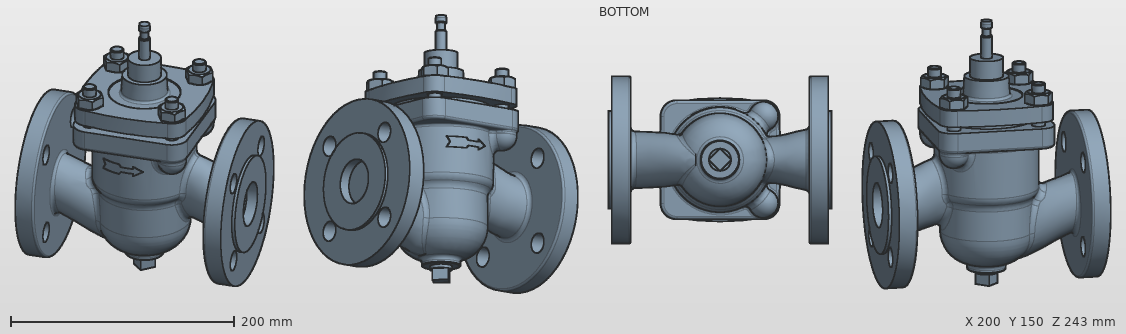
import cadquery as cq
import math


face_to_face = 200.0
flange_dia = 150.0
flange_thickness = 17.2
raised_face_dia = 88.0
raised_face_height = 3.0
flange_edge_radius = 2.0
port_dia = 40.0
port_depth = 10.0
bolt_hole_dia = 18.0
bolt_offset = 38.9
flange_front = face_to_face / 2 - raised_face_height
flange_back = flange_front - flange_thickness

chest_radius = 94.0 / 2
bowl_radius = 41.8
shoulder_top = 12.1
shoulder_bottom = -1.2
bowl_top = -28.5
bowl_curve_radius = 30.4
drain_fillet_start_radius = 21.0
drain_boss_radius = 17.5
drain_boss_bottom = -64.4
drain_fillet_end = -61.5
drain_boss_chamfer = 0.7

inlet_sections = [
    (flange_back, -6.0, 25.7, 27.0),
    (65.5, -12.0, 25.3, 27.2),
    (53.5, -17.0, 24.8, 28.5),
    (38.9, -24.5, 22.5, 28.0),
    (21.9, -32.0, 19.2, 25.3),
]
outlet_sections = [
    (flange_back, 0.5, 27.5, 28.7),
    (65.5, 3.6, 24.8, 29.0),
    (54.6, 7.8, 22.0, 29.9),
    (43.7, 11.0, 20.6, 30.0),
    (29.1, 13.5, 19.5, 27.7),
]
neck_flare_radius = 3.6
neck_root_fillet = 5.3

body_flange_top = 75.8
body_flange_bottom = 56.5
body_flange_half = 53.5
body_flange_corner = 14.5
body_flange_edge_radius = 3.0
chest_fillet = 2.2

stud_offset = 38.9
stud_boss_radius = 13.0
stud_boss_centre_height = 53.7
stud_boss_fillet = 5.3

plug_neck_dia = 20.0
plug_square_diagonal = 20.5
plug_square_top = -67.5
plug_bottom = -78.0

arrow_tail = -25.7
arrow_notch = 2.7
arrow_shaft_start = -6.5
arrow_tail_end = -8.5
arrow_head_start = 4.9
arrow_tip = 13.8
arrow_height = 40.0
arrow_half_width = 4.9
arrow_shaft_half_width = 2.5
arrow_relief = 0.5

edge_margin = 0.2
flare_hollow = 0.3

bonnet_gap = 5.5
bonnet_thickness = 15.0
bonnet_half = 55.4
bonnet_corner_radius = 13.0
bonnet_hub_dia = 88.0
recess_top_dia = 65.3
recess_floor_dia = 64.0
recess_depth = 0.5
bonnet_bottom = body_flange_top + bonnet_gap
bonnet_top = bonnet_bottom + bonnet_thickness
recess_floor = bonnet_top - recess_depth

gland_flare_radius = 22.8
gland_base_radius = 21.0
gland_base_height = 98.4
gland_shoulder_radius = 40.0 / 2
gland_shoulder_height = 114.0
gland_nose_radius = 29.9 / 2
gland_top = 131.0
stem_radius = 10.0 / 2
stem_neck_radius = 7.5 / 2
stem_bevel = 0.7
stem_neck_bottom = 151.5
stem_cone_start = 150.3
stem_head_bottom = 158.8
stem_head_rim = 162.7
stem_rim_radius = 4.5
stem_top = 165.0

stud_dia = 12.0
stud_clearance_dia = 13.0
stud_top = 114.5
stud_chamfer = 1.0
nut_flats = 22.0
nut_height = 10.2
nut_face_dia = 20.0
nut_collar_height = 0.5
nut_chamfer_angle = 30


def ring_of_points(offset):
    """The four corners of a square with half side `offset`."""
    return [(x, y) for x in (-offset, offset) for y in (-offset, offset)]


def edges_between(corner, opposite):
    """Selector for the edges that lie wholly inside a box given by two corners."""
    return cq.selectors.BoxSelector(corner, opposite, boundingbox=True)


def hollow_arc_middle(inner_radius, outer_radius, outer_height, inner_height):
    """Middle point of a hollow flare between a wide end and the narrower column it runs into."""
    return (
        inner_radius + flare_hollow * (outer_radius - inner_radius),
        outer_height + flare_hollow * (inner_height - outer_height),
    )


def line_flange(side):
    """Line flange with its raised face; side is -1 for the inlet and 1 for the outlet."""
    flange = (
        cq.Workplane("YZ", origin=(side * flange_back, 0, 0))
        .circle(flange_dia / 2)
        .extrude(side * flange_thickness)
    )
    back_face = "<X" if side > 0 else ">X"
    flange = flange.faces(back_face).edges().fillet(flange_edge_radius)
    raised_face = (
        cq.Workplane("YZ", origin=(side * flange_front, 0, 0))
        .circle(raised_face_dia / 2)
        .extrude(side * raised_face_height)
    )
    return flange.union(raised_face)


def pipe_neck(side, sections):
    """Sloping neck lofted through upright ellipses from the flange into the casting."""
    ellipses = []
    for distance, height, half_width, half_height in sections:
        plane = cq.Plane(origin=(side * distance, 0, height), xDir=(0, 1, 0), normal=(1, 0, 0))
        ellipses.append(cq.Wire.makeEllipse(
            half_height, half_width, plane.origin, plane.zDir, cq.Vector(0, 0, 1)))
    return cq.Workplane(cq.Solid.makeLoft(ellipses))


def flanged_neck(side, sections):
    """Line flange and its neck, with a flare where they meet."""
    joined = line_flange(side).union(pipe_neck(side, sections))
    joint = edges_between(
        (side * (flange_back - edge_margin), -bolt_offset, -bolt_offset),
        (side * (flange_back + edge_margin), bolt_offset, bolt_offset),
    )
    return joined.edges(joint).fillet(neck_flare_radius)


def flange_openings(side):
    """Bolt holes and the blind port of one line flange."""
    face = cq.Workplane("YZ", origin=(side * face_to_face / 2, 0, 0))
    port = face.circle(port_dia / 2).extrude(-side * port_depth)
    depth = raised_face_height + flange_thickness
    holes = face.pushPoints(ring_of_points(bolt_offset)).circle(bolt_hole_dia / 2).extrude(-side * depth)
    return port.union(holes)


def chest_and_bowl():
    """Round casting: the chest, the shoulder, the rounded bowl and the drain boss."""
    shoulder_middle_radius = (chest_radius + bowl_radius) / 2
    shoulder_middle = (shoulder_top + shoulder_bottom) / 2
    bowl_centre = bowl_radius - bowl_curve_radius
    end_angle = math.acos((drain_fillet_start_radius - bowl_centre) / bowl_curve_radius)
    bowl_end = bowl_top - bowl_curve_radius * math.sin(end_angle)
    bowl_middle = (
        bowl_centre + bowl_curve_radius * math.cos(end_angle / 2),
        bowl_top - bowl_curve_radius * math.sin(end_angle / 2),
    )
    fillet_middle = hollow_arc_middle(
        drain_boss_radius, drain_fillet_start_radius, bowl_end, drain_fillet_end)
    profile = (
        cq.Workplane("XZ")
        .moveTo(0, body_flange_bottom)
        .lineTo(chest_radius, body_flange_bottom)
        .lineTo(chest_radius, shoulder_top)
        .tangentArcPoint((shoulder_middle_radius, shoulder_middle), relative=False)
        .tangentArcPoint((bowl_radius, shoulder_bottom), relative=False)
        .lineTo(bowl_radius, bowl_top)
        .threePointArc(bowl_middle, (drain_fillet_start_radius, bowl_end))
        .threePointArc(fillet_middle, (drain_boss_radius, drain_fillet_end))
        .lineTo(drain_boss_radius, drain_boss_bottom + drain_boss_chamfer)
        .lineTo(drain_boss_radius - drain_boss_chamfer, drain_boss_bottom)
        .lineTo(0, drain_boss_bottom)
        .close()
    )
    return profile.revolve(360, (0, 0, 0), (0, 1, 0))


def body_flange():
    """Square flange with round corners and a rounded lower edge."""
    plate = (
        cq.Workplane("XY", origin=(0, 0, body_flange_bottom))
        .rect(2 * body_flange_half, 2 * body_flange_half)
        .extrude(body_flange_top - body_flange_bottom)
    )
    plate = plate.edges("|Z").fillet(body_flange_corner)
    return plate.faces("<Z").edges().fillet(body_flange_edge_radius)


def stud_boss(y):
    """Round-ended boss under an outlet-side corner of the body flange."""
    centre = (stud_offset, y, stud_boss_centre_height)
    post = cq.Workplane("XY", origin=centre).circle(stud_boss_radius).extrude(
        body_flange_bottom + body_flange_edge_radius - stud_boss_centre_height)
    dome = cq.Workplane("XY", origin=centre).sphere(stud_boss_radius)
    return post.union(dome)


def drain_plug():
    """Plug with a round neck and a square key, one edge facing forward."""
    neck = (
        cq.Workplane("XY", origin=(0, 0, plug_square_top))
        .circle(plug_neck_dia / 2)
        .extrude(drain_boss_bottom - plug_square_top)
    )
    square = (
        cq.Workplane("XY", origin=(0, 0, plug_bottom))
        .polygon(4, plug_square_diagonal)
        .extrude(plug_square_top - plug_bottom)
    )
    return neck.union(square)


def flow_arrow():
    """Raised arrow that follows the round front of the chest."""
    upper = [
        (arrow_tail, arrow_half_width),
        (arrow_tail_end, arrow_half_width),
        (arrow_shaft_start, arrow_shaft_half_width),
        (arrow_head_start, arrow_shaft_half_width),
        (arrow_head_start, arrow_half_width),
    ]
    lower = [(x, -z) for x, z in reversed(upper)]
    outline = upper + [(arrow_tip, 0)] + lower + [(arrow_tail + arrow_notch, 0)]
    prism = (
        cq.Workplane("XZ", origin=(0, 0, arrow_height))
        .polyline(outline)
        .close()
        .extrude(chest_radius + 2 * arrow_relief)
    )
    skin = (
        cq.Workplane("XY", origin=(0, 0, arrow_height - arrow_half_width))
        .circle(chest_radius + arrow_relief)
        .circle(chest_radius - arrow_relief)
        .extrude(2 * arrow_half_width)
    )
    return prism.intersect(skin)


def stud_with_nut(x, y):
    """Stud standing on the body flange, with its hexagon nut on top of the bonnet."""
    stud = (
        cq.Workplane("XY", origin=(x, y, body_flange_top))
        .circle(stud_dia / 2)
        .extrude(stud_top - body_flange_top)
        .faces(">Z")
        .chamfer(stud_chamfer)
    )
    corner_dia = nut_flats / math.cos(math.pi / 6)
    hexagon = (
        cq.Workplane("XY", origin=(x, y, bonnet_top + nut_collar_height))
        .polygon(6, corner_dia)
        .extrude(nut_height - nut_collar_height)
    )
    cone_drop = (corner_dia - nut_face_dia) / 2 * math.tan(math.radians(nut_chamfer_angle))
    chamfer_cone = (
        cq.Workplane("XZ", origin=(x, y, bonnet_top))
        .polyline([
            (0, 0),
            (corner_dia / 2, 0),
            (corner_dia / 2, nut_height - cone_drop),
            (nut_face_dia / 2, nut_height),
            (0, nut_height),
        ])
        .close()
        .revolve(360, (0, 0, 0), (0, 1, 0))
    )
    collar = (
        cq.Workplane("XY", origin=(x, y, bonnet_top)).circle(nut_flats / 2).extrude(nut_collar_height)
    )
    return hexagon.intersect(chamfer_cone).union(collar).union(stud)


def upper_casting():
    """Chest, bowl, body flange and stud bosses with the fillets between them."""
    casting = chest_and_bowl().union(body_flange())
    for y in (-stud_offset, stud_offset):
        casting = casting.union(stud_boss(y))
    near = stud_offset - stud_boss_radius - edge_margin
    far = stud_offset + stud_boss_radius / 2
    for side in (-1, 1):
        boss_root = edges_between(
            (near, side * near, stud_boss_centre_height - stud_boss_radius),
            (far, side * far, stud_boss_centre_height + edge_margin),
        )
        casting = casting.edges(boss_root).fillet(stud_boss_fillet)
    reach = chest_radius + edge_margin
    flange_root = edges_between(
        (-reach, -reach, body_flange_bottom - edge_margin),
        (reach, reach, body_flange_bottom + edge_margin),
    )
    return casting.edges(flange_root).fillet(chest_fillet)


def make_housing():
    """Valve body with its line flanges, drain plug, studs and nuts."""
    housing = upper_casting()
    for side, sections, root_bottom in (
        (-1, inlet_sections, drain_fillet_end),
        (1, outlet_sections, bowl_top),
    ):
        housing = housing.union(flanged_neck(side, sections))
        root_start, *_ = sections[-1]
        neck_root = edges_between(
            (side * root_start, -chest_radius, root_bottom),
            (side * (chest_radius + edge_margin), chest_radius, stud_boss_centre_height - stud_boss_radius),
        )
        housing = housing.edges(neck_root).fillet(neck_root_fillet)
    housing = housing.union(drain_plug()).union(flow_arrow())
    for side in (-1, 1):
        housing = housing.cut(flange_openings(side))
    for x, y in ring_of_points(stud_offset):
        housing = housing.union(stud_with_nut(x, y))
    return housing


def bonnet_plate():
    """Square plate with bulged sides, round corners and stud clearance holes."""
    corner_reach = stud_offset + bonnet_corner_radius
    diagonal = stud_offset + bonnet_corner_radius / math.sqrt(2)
    outline = cq.Workplane("XY", origin=(0, 0, bonnet_bottom)).moveTo(-stud_offset, -corner_reach)
    for dx, dy in ((0, -1), (1, 0), (0, 1), (-1, 0)):
        side_end = (
            dx * corner_reach - dy * stud_offset,
            dy * corner_reach + dx * stud_offset,
        )
        corner_middle = ((dx - dy) * diagonal, (dy + dx) * diagonal)
        corner_end = (
            dx * stud_offset - dy * corner_reach,
            dy * stud_offset + dx * corner_reach,
        )
        outline = outline.threePointArc((dx * bonnet_half, dy * bonnet_half), side_end)
        outline = outline.threePointArc(corner_middle, corner_end)
    plate = outline.close().extrude(bonnet_thickness)
    holes = (
        cq.Workplane("XY", origin=(0, 0, bonnet_bottom))
        .pushPoints(ring_of_points(stud_offset))
        .circle(stud_clearance_dia / 2)
        .extrude(bonnet_thickness)
    )
    recess = cq.Workplane(cq.Solid.makeCone(
        recess_floor_dia / 2, recess_top_dia / 2, recess_depth, cq.Vector(0, 0, recess_floor)))
    return plate.cut(holes).cut(recess)


def gland_and_stem():
    """Turned column above the bonnet: flared gland, nose and grooved stem."""
    flare_middle = hollow_arc_middle(
        gland_base_radius, gland_flare_radius, recess_floor, gland_base_height)
    profile = (
        cq.Workplane("XZ")
        .moveTo(0, recess_floor)
        .lineTo(gland_flare_radius, recess_floor)
        .threePointArc(flare_middle, (gland_base_radius, gland_base_height))
        .lineTo(gland_shoulder_radius, gland_shoulder_height)
        .lineTo(gland_nose_radius, gland_shoulder_height)
        .lineTo(gland_nose_radius, gland_top)
        .lineTo(stem_radius, gland_top)
        .lineTo(stem_radius, stem_cone_start)
        .lineTo(stem_radius - stem_bevel, stem_neck_bottom)
        .lineTo(stem_neck_radius, stem_neck_bottom)
        .lineTo(stem_neck_radius, stem_head_bottom - stem_bevel)
        .lineTo(stem_radius - stem_bevel, stem_head_bottom - stem_bevel)
        .lineTo(stem_radius, stem_head_bottom)
        .lineTo(stem_radius, stem_head_rim)
        .lineTo(stem_rim_radius, stem_top)
        .lineTo(0, stem_top)
        .close()
    )
    return profile.revolve(360, (0, 0, 0), (0, 1, 0))


def make_bonnet():
    """Bonnet with its hub resting on the body flange, the gland and the stem."""
    hub = (
        cq.Workplane("XY", origin=(0, 0, body_flange_top)).circle(bonnet_hub_dia / 2).extrude(bonnet_gap)
    )
    return bonnet_plate().union(hub).union(gland_and_stem())


housing = make_housing()
bonnet = make_bonnet()
result = cq.Compound.makeCompound([housing.solids().val(), bonnet.solids().val()])